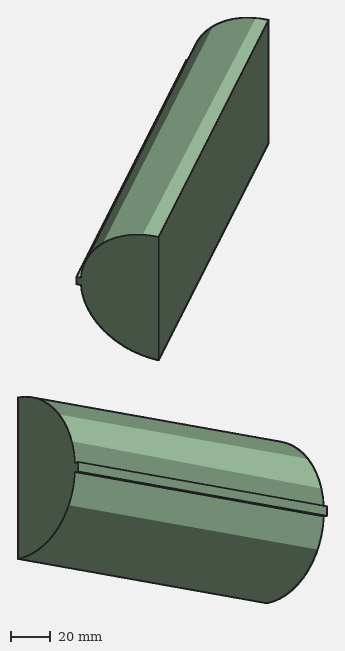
import cadquery as cq

length = 175.0
radius = 41.5
overall_depth = 43.8
rib_height = 4.9

flat_x = overall_depth / 2
crown_x = flat_x - radius
rib_tip_x = flat_x - overall_depth


def half_round_bar():
    """Half cylinder centred on the flat face."""
    return (
        cq.Workplane("XZ")
        .moveTo(flat_x, radius)
        .threePointArc((crown_x, 0), (flat_x, -radius))
        .close()
        .extrude(length / 2, both=True)
    )


def key_rib():
    """Full-length rib, rooted at the flat face so it merges with the bar."""
    return (
        cq.Workplane("XY")
        .box(overall_depth, length, rib_height)
        .translate(((rib_tip_x + flat_x) / 2, 0, 0))
    )


result = half_round_bar().union(key_rib())